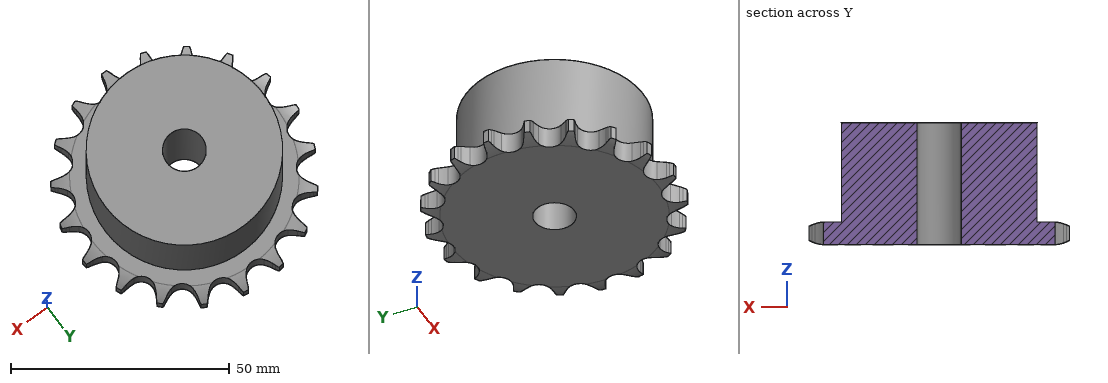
import cadquery as cq
import math


tooth_count = 19
chain_pitch = 9.525
roller_diameter = 6.35
tip_diameter = 61.3
wheel_width = 5.3

side_radius = 10.0
side_depth = 1.0

hub_diameter = 45.0
total_height = 28.0
bore_diameter = 10.0

tooth_step = 360 / tooth_count
pitch_radius = chain_pitch / (2 * math.sin(math.pi / tooth_count))
tip_radius = tip_diameter / 2

form_clearance = 0.0381
seating_radius = 1.005 * roller_diameter / 2 + form_clearance
working_radius = 1.3025 * roller_diameter + form_clearance
seating_turn = math.radians(90 - (35 + 60 / tooth_count))
working_turn = math.radians(18 - 56 / tooth_count)
topping_angle = math.radians(17 - 64 / tooth_count)
straight_length = roller_diameter * (1.4 * math.sin(topping_angle) - 0.8 * math.sin(working_turn))
topping_radius = (
    roller_diameter * (0.8 * math.cos(working_turn) + 1.4 * math.cos(topping_angle) - 1.3025)
    - form_clearance
)
topping_turn = math.radians(20)


def move(point, heading, length):
    """Point reached from a start point along a heading measured from +X."""
    x, y = point
    return (x + length * math.cos(heading), y + length * math.sin(heading))


def follow_arc(start, heading, radius, turn):
    """Middle and end point of an arc tangent to the heading; a positive turn is to the left."""
    chord_to_middle = 2 * radius * math.sin(abs(turn) / 4)
    chord_to_end = 2 * radius * math.sin(abs(turn) / 2)
    middle = move(start, heading + turn / 4, chord_to_middle)
    end = move(start, heading + turn / 2, chord_to_end)
    return middle, end


def mirrored(point):
    return (-point[0], point[1])


def make_tooth_gap():
    """Cutter for one tooth gap, centred on the +Y axis."""
    root = (0, pitch_radius - seating_radius)
    seating_middle, seating_end = follow_arc(root, 0, seating_radius, seating_turn)
    heading = seating_turn
    working_middle, working_end = follow_arc(seating_end, heading, working_radius, working_turn)
    heading += working_turn
    straight_end = move(working_end, heading, straight_length)
    topping_middle, topping_end = follow_arc(straight_end, heading, topping_radius, -topping_turn)
    return (
        cq.Workplane("XY")
        .moveTo(*root)
        .threePointArc(seating_middle, seating_end)
        .threePointArc(working_middle, working_end)
        .lineTo(*straight_end)
        .threePointArc(topping_middle, topping_end)
        .lineTo(*mirrored(topping_end))
        .threePointArc(mirrored(topping_middle), mirrored(straight_end))
        .lineTo(*mirrored(working_end))
        .threePointArc(mirrored(working_middle), mirrored(seating_end))
        .threePointArc(mirrored(seating_middle), root)
        .close()
        .extrude(wheel_width)
    )


def make_wheel_blank():
    """Disc whose rim sides curve in from the flat faces towards the tip circle."""
    side_width = math.sqrt(side_radius**2 - (side_radius - side_depth) ** 2)
    face_radius = tip_radius - side_width
    half_turn = math.asin(side_width / side_radius) / 2
    middle_radius = face_radius + side_radius * math.sin(half_turn)
    middle_depth = side_radius * (1 - math.cos(half_turn))
    return (
        cq.Workplane("XZ")
        .lineTo(face_radius, 0)
        .threePointArc((middle_radius, middle_depth), (tip_radius, side_depth))
        .lineTo(tip_radius, wheel_width - side_depth)
        .threePointArc((middle_radius, wheel_width - middle_depth), (face_radius, wheel_width))
        .lineTo(0, wheel_width)
        .close()
        .revolve(360, (0, 0, 0), (0, 1, 0))
    )


def make_toothed_wheel():
    wheel = make_wheel_blank()
    gap = make_tooth_gap()
    for index in range(tooth_count):
        wheel = wheel.cut(gap.rotate((0, 0, 0), (0, 0, 1), index * tooth_step))
    return wheel


def make_hub():
    return cq.Workplane("XY").circle(hub_diameter / 2).extrude(total_height)


def make_bore():
    return cq.Workplane("XY").circle(bore_diameter / 2).extrude(total_height)


result = make_toothed_wheel().union(make_hub()).cut(make_bore())